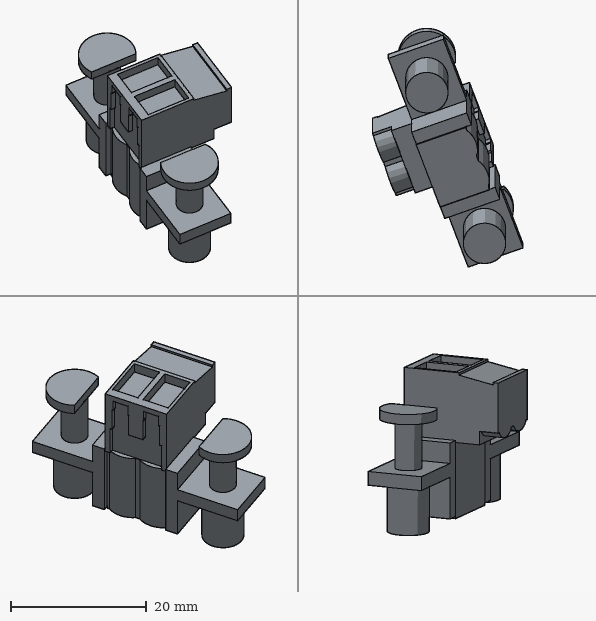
import cadquery as cq


HOUSING_WIDTH = 10.25
HOUSING_FRONT = 0.27
HOUSING_BACK = 15.52
HOUSING_BOTTOM = 0.82
HOUSING_TOP = 22.9
OVERHANG_STEP_Y = 12.55
OVERHANG_BOTTOM = 12.35
REAR_BOTTOM = 14.35
RIDGE_FRONT = 14.7
RIDGE_TOP = 21.93
SLOPE_START_Y = 9.15
SLOPE_START_Z = 22.55
SLOPE_END_Z = 21.6

POLE_PITCH = 5.07
POLE_POSITIONS = [-POLE_PITCH / 2, POLE_PITCH / 2]

POCKET_WIDTH = 4.18
POCKET_FRONT = 1.7
POCKET_BACK = 8.53
POCKET_DEPTH = 1.55

RECESS_DEPTH = 0.72
LOWER_SETBACK = 0.6
LEDGE_Z = 12.03
RECESS_HALF_WIDTH = 4.3
SHOULDER_Z = 16.58
PRONG_OUTER = 3.97
PRONG_INNER = 1.2
PRONG_STEP_Z = 20.2
TIP_OUTER = 3.8
TIP_INNER = 1.3
TIP_TOP = 21.95

LOBE_WIDTH = 4.35
FRONT_LOBE_HEIGHT = 0.65
REAR_LOBE_HEIGHT = 1.13

FLANGE_OUTER_X = 17.13
FLANGE_DEPTH = 8.65
CHEEK_OUTER_X = 7.1
CHEEK_BOTTOM = 1.15
CHEEK_TOP = 12.65
PLATE_BOTTOM = 7.47
PLATE_TOP = 9.55

SCREW_X = 12.37
SCREW_Y = FLANGE_DEPTH / 2
SHANK_RADIUS = 2.0
HEAD_RADIUS = 4.25
HEAD_BOTTOM = 17.0
HEAD_TOP = 18.55
SLEEVE_RADIUS = 3.12

RECESS_Y = HOUSING_FRONT + RECESS_DEPTH
LOWER_FRONT = HOUSING_FRONT + LOWER_SETBACK
LOWER_BACK = FLANGE_DEPTH


def box(x0, x1, y0, y1, z0, z1):
    """Block between two opposite corners."""
    return cq.Workplane("XY").box(x1 - x0, y1 - y0, z1 - z0, centered=False).translate((x0, y0, z0))


def cylinder(x, y, radius, z0, z1):
    """Upright cylinder between two heights."""
    return cq.Workplane("XY", origin=(x, y, z0)).circle(radius).extrude(z1 - z0)


def housing_blank():
    """Side profile of the housing, extruded across its width."""
    profile = [
        (LOWER_FRONT, HOUSING_BOTTOM),
        (LOWER_BACK, HOUSING_BOTTOM),
        (LOWER_BACK, OVERHANG_BOTTOM),
        (OVERHANG_STEP_Y, OVERHANG_BOTTOM),
        (OVERHANG_STEP_Y, REAR_BOTTOM),
        (HOUSING_BACK, REAR_BOTTOM),
        (HOUSING_BACK, RIDGE_TOP),
        (RIDGE_FRONT, RIDGE_TOP),
        (RIDGE_FRONT, SLOPE_END_Z),
        (SLOPE_START_Y, SLOPE_START_Z),
        (SLOPE_START_Y, HOUSING_TOP),
        (HOUSING_FRONT, HOUSING_TOP),
        (HOUSING_FRONT, LEDGE_Z),
        (LOWER_FRONT, LEDGE_Z),
    ]
    return cq.Workplane("YZ").polyline(profile).close().extrude(HOUSING_WIDTH / 2, both=True)


def front_recess():
    """Cutter for the upper front, ending in two stepped prongs."""
    right_edge = [
        (RECESS_HALF_WIDTH, LEDGE_Z),
        (RECESS_HALF_WIDTH, SHOULDER_Z),
        (PRONG_OUTER, SHOULDER_Z),
        (PRONG_OUTER, PRONG_STEP_Z),
        (TIP_OUTER, PRONG_STEP_Z),
        (TIP_OUTER, TIP_TOP),
        (TIP_INNER, TIP_TOP),
        (TIP_INNER, PRONG_STEP_Z),
        (PRONG_INNER, PRONG_STEP_Z),
        (PRONG_INNER, SHOULDER_Z),
    ]
    left_edge = [(-x, z) for x, z in reversed(right_edge)]
    front_plane = cq.Workplane("XZ", origin=(0, RECESS_Y, 0))
    return front_plane.polyline(right_edge + left_edge).close().extrude(RECESS_DEPTH)


def lobe_outline(plane, x, base, height):
    """Closed circular segment standing below its base line."""
    return (
        plane.moveTo(x - LOBE_WIDTH / 2, base)
        .threePointArc((x, base - height), (x + LOBE_WIDTH / 2, base))
        .close()
    )


def front_lobe(x):
    plane = cq.Workplane("XY", origin=(0, 0, HOUSING_BOTTOM))
    return lobe_outline(plane, x, LOWER_FRONT, FRONT_LOBE_HEIGHT).extrude(LEDGE_Z - HOUSING_BOTTOM)


def rear_lobe(x):
    plane = cq.Workplane("XZ", origin=(0, HOUSING_BACK, 0))
    return lobe_outline(plane, x, REAR_BOTTOM, REAR_LOBE_HEIGHT).extrude(HOUSING_BACK - OVERHANG_STEP_Y)


def top_pocket(x):
    return box(
        x - POCKET_WIDTH / 2, x + POCKET_WIDTH / 2,
        POCKET_FRONT, POCKET_BACK,
        HOUSING_TOP - POCKET_DEPTH, HOUSING_TOP,
    )


def make_housing():
    body = housing_blank().cut(front_recess())
    for x in POLE_POSITIONS:
        body = body.union(front_lobe(x)).union(rear_lobe(x)).cut(top_pocket(x))
    return body


def mirrored_to(side, body):
    """Right-hand body for side = 1, its mirror image for side = -1."""
    return body if side > 0 else body.mirror("YZ")


def make_flange(side):
    """Cheek against the housing with a mounting plate reaching outwards."""
    cheek = box(HOUSING_WIDTH / 2, CHEEK_OUTER_X, 0, FLANGE_DEPTH, CHEEK_BOTTOM, CHEEK_TOP)
    plate = box(CHEEK_OUTER_X, FLANGE_OUTER_X, 0, FLANGE_DEPTH, PLATE_BOTTOM, PLATE_TOP)
    return mirrored_to(side, cheek.union(plate))


def make_thumb_screw(side):
    """Shank on the plate, with a head cut flat along the inner side of the shank."""
    shank = cylinder(SCREW_X, SCREW_Y, SHANK_RADIUS, PLATE_TOP, HEAD_BOTTOM)
    head = cylinder(SCREW_X, SCREW_Y, HEAD_RADIUS, HEAD_BOTTOM, HEAD_TOP)
    flat_cutter = box(
        SCREW_X - HEAD_RADIUS, SCREW_X - SHANK_RADIUS,
        SCREW_Y - HEAD_RADIUS, SCREW_Y + HEAD_RADIUS,
        HEAD_BOTTOM, HEAD_TOP,
    )
    return mirrored_to(side, head.cut(flat_cutter).union(shank))


def make_sleeve(side):
    """Plain cylinder under the plate, in line with the screw."""
    return mirrored_to(side, cylinder(SCREW_X, SCREW_Y, SLEEVE_RADIUS, 0, PLATE_BOTTOM))


bodies = [make_housing().val()]
for side in (-1, 1):
    bodies.append(make_flange(side).val())
    bodies.append(make_thumb_screw(side).val())
    bodies.append(make_sleeve(side).val())

result = cq.Compound.makeCompound(bodies)